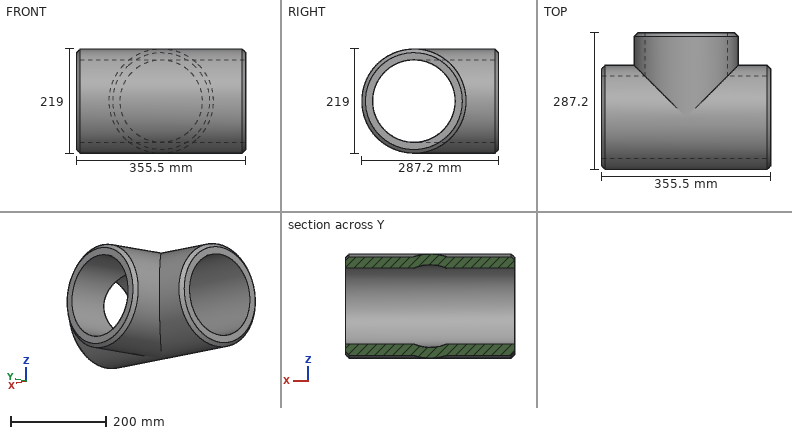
import cadquery as cq

run_length = 355.5
outer_diameter = 219.0
bore_diameter = 172.8
end_chamfer = 8.0
branch_length = run_length / 2


def run_cylinder(diameter):
    """Cylinder along X, centred on the origin."""
    return cq.Workplane("YZ").circle(diameter / 2).extrude(run_length / 2, both=True)


def branch_cylinder(diameter):
    """Cylinder from the run axis out to the branch end."""
    return cq.Workplane("XZ").circle(diameter / 2).extrude(-branch_length)


run = run_cylinder(outer_diameter).faces("<X or >X").edges().chamfer(end_chamfer)
branch = branch_cylinder(outer_diameter).faces(">Y").edges().chamfer(end_chamfer)

body = run.union(branch)
result = body.cut(run_cylinder(bore_diameter)).cut(branch_cylinder(bore_diameter))